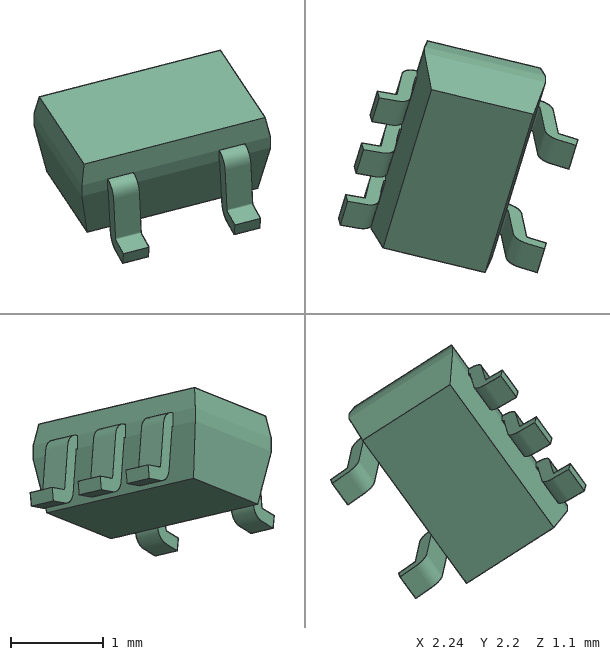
import cadquery as cq
import math

span_x = 2.24
height = 1.1

body_x = 1.35
body_y = 2.2
top_height = 0.25
band_height = 0.15
bottom_height = 0.6
draft_angle = 10.0

lead_width = 0.3
lead_pitch = 0.65
lead_thickness = band_height
inner_radius = 0.02
outer_radius = inner_radius + lead_thickness
leg_angle = math.radians(6.2)
foot_angle = math.radians(8.0)

band_top = height - top_height
band_bottom = band_top - band_height


def polar(center, radius, angle):
    """Point at a radius and angle about a center in the XZ plane."""
    return (center[0] + radius * math.cos(angle), center[1] + radius * math.sin(angle))


def make_body():
    band = cq.Workplane("XY").workplane(offset=band_bottom).rect(body_x, body_y).extrude(band_height)
    upper = band.faces(">Z").workplane().rect(body_x, body_y).extrude(
        top_height, taper=draft_angle, combine=False)
    lower = band.faces("<Z").workplane().rect(body_x, body_y).extrude(
        bottom_height, taper=draft_angle, combine=False)
    return band.union(upper).union(lower)


def make_left_lead():
    """Lead on the -X side, centred on Y = 0."""
    shoulder = (-body_x / 2, band_top - outer_radius)
    leg_normal = math.pi - leg_angle
    foot_normal = math.pi / 2 + foot_angle

    tip_top = (-span_x / 2, lead_thickness * math.cos(foot_angle))
    tip_bottom = polar(tip_top, -lead_thickness, foot_normal)

    bend_start = polar(tip_top, inner_radius, foot_normal)
    start_offset = ((bend_start[0] - shoulder[0]) * math.cos(leg_normal)
                    + (bend_start[1] - shoulder[1]) * math.sin(leg_normal))
    bend_spacing = outer_radius + inner_radius
    foot_length = (start_offset - bend_spacing) / math.cos(leg_angle + foot_angle)
    ankle = polar(bend_start, foot_length, foot_angle)

    shoulder_middle = (math.pi / 2 + leg_normal) / 2
    ankle_middle = (leg_normal + foot_normal) / 2 + math.pi
    profile = (
        cq.Workplane("XZ", origin=(0, lead_width / 2, 0))
        .moveTo(*polar(shoulder, outer_radius, math.pi / 2))
        .threePointArc(polar(shoulder, outer_radius, shoulder_middle),
                       polar(shoulder, outer_radius, leg_normal))
        .lineTo(*polar(ankle, -inner_radius, leg_normal))
        .threePointArc(polar(ankle, inner_radius, ankle_middle),
                       polar(ankle, -inner_radius, foot_normal))
        .lineTo(*tip_top)
        .lineTo(*tip_bottom)
        .lineTo(*polar(ankle, -outer_radius, foot_normal))
        .threePointArc(polar(ankle, outer_radius, ankle_middle),
                       polar(ankle, -outer_radius, leg_normal))
        .lineTo(*polar(shoulder, inner_radius, leg_normal))
        .threePointArc(polar(shoulder, inner_radius, shoulder_middle),
                       polar(shoulder, inner_radius, math.pi / 2))
        .close()
    )
    return profile.extrude(lead_width)


result = make_body()
left_lead = make_left_lead()
right_lead = left_lead.mirror("YZ")

for row in (-1, 0, 1):
    result = result.union(left_lead.translate((0, row * lead_pitch, 0)))
for row in (-1, 1):
    result = result.union(right_lead.translate((0, row * lead_pitch, 0)))